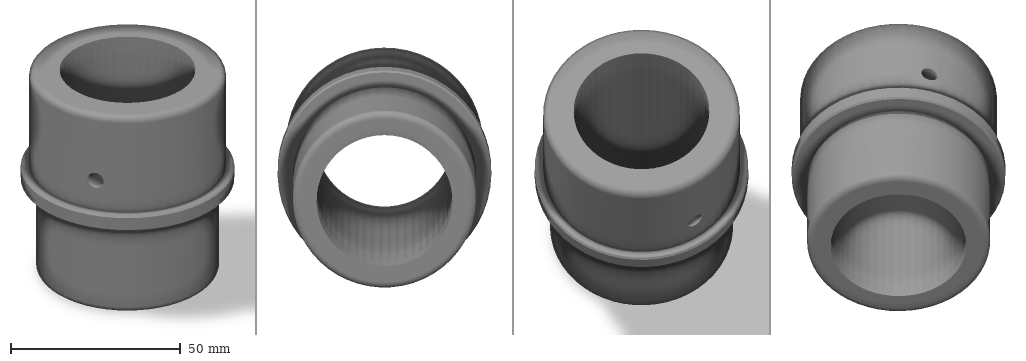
import cadquery as cq
import math

total_height = 67.0
flange_bottom = 30.0
flange_thickness = 5.0
flange_top = flange_bottom + flange_thickness

bore_radius = 20.0
head_radius = 29.0
flange_radius = 31.5
shank_radius = 27.0

head_edge_fillet = 2.0
flange_edge_chamfer = 0.5
shank_edge_fillet = 2.0

neck_height = 2.0
neck_curve_radius = 3.25
neck_depth = neck_curve_radius - math.sqrt(neck_curve_radius**2 - neck_height**2)

side_hole_diameter = 5.0
side_hole_height = flange_top + 10.0


def disc(radius, bottom, top):
    """Solid cylinder on the Z axis between two heights."""
    return cq.Workplane("XY").workplane(offset=bottom).circle(radius).extrude(top - bottom)


def make_head():
    head = disc(head_radius, flange_bottom, total_height)
    return head.faces(">Z").edges().fillet(head_edge_fillet)


def make_flange():
    return disc(flange_radius, flange_bottom, flange_top).edges().chamfer(flange_edge_chamfer)


def make_shank():
    shank = disc(shank_radius, 0, flange_bottom - neck_height)
    return shank.faces("<Z").edges().fillet(shank_edge_fillet)


def make_neck():
    """Neck turned from an arc that starts upright under the flange and flares out to the shank."""
    neck_bottom = flange_bottom - neck_height
    neck_top_radius = shank_radius - neck_depth
    return (
        cq.Workplane("XZ")
        .moveTo(0, neck_bottom)
        .lineTo(shank_radius, neck_bottom)
        .radiusArc((neck_top_radius, flange_bottom), neck_curve_radius)
        .lineTo(0, flange_bottom)
        .close()
        .revolve()
    )


def make_side_hole():
    return (
        cq.Workplane("XZ")
        .center(0, side_hole_height)
        .circle(side_hole_diameter / 2)
        .extrude(flange_radius)
    )


body = make_head().union(make_flange()).union(make_neck()).union(make_shank())
result = body.cut(disc(bore_radius, 0, total_height)).cut(make_side_hole())